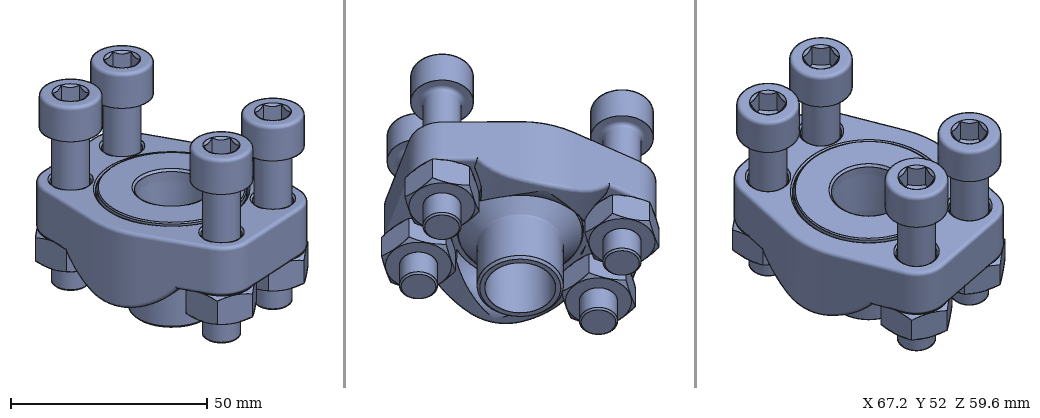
import cadquery as cq
import math

SQRT_HALF = math.sqrt(0.5)
COS_30 = math.cos(math.pi / 6)

HUB_TOP = 34.95
PLATE_TOP = 34.5
PLATE_THICKNESS = 14.0
PLATE_BOTTOM = PLATE_TOP - PLATE_THICKNESS
BULGE_DEPTH = 8.55
BULGE_BOTTOM = PLATE_BOTTOM - BULGE_DEPTH
HEAD_TOP = 59.6

SCREW_X = 23.8
SCREW_Y = 11.1
SCREW_PLACES = [(x_side * SCREW_X, y_side * SCREW_Y) for x_side in (-1, 1) for y_side in (-1, 1)]

PLATE_HALF_LENGTH = 32.5
PLATE_WIDTH = 52.0
CROWN_RADIUS = PLATE_WIDTH / 2
CORNER_RADIUS = PLATE_HALF_LENGTH - SCREW_X
EDGE_FILLET = 1.0
BULGE_RADIUS = 22.1

SEAT_DIAMETER = 38.9
SEAT_DEPTH = 6.5
SEAT_CHAMFER = 0.5
NECK_BORE_DIAMETER = 32.15
MOUTH_DIAMETER = 34.95
MOUTH_RADIUS = 6.6
NUT_CLEARANCE_DIAMETER = 20.2
SCREW_HOLE_DIAMETER = 10.5
SCREW_HOLE_CHAMFER = 0.55

HUB_HEAD_DIAMETER = 38.1
HUB_HEAD_CHAMFER = 0.35
NECK_DIAMETER = 31.6
TUBE_DIAMETER = 22.0
TUBE_LENGTH = 15.0
TUBE_CHAMFER = 0.7
CONE_BLEND_RADIUS = 0.6
UPPER_BORE_DIAMETER = 19.0
LOWER_BORE_DIAMETER = 18.0
UPPER_BORE_DEPTH = 3.3
BORE_TAPER_LENGTH = 11.55
BORE_CHAMFER = 0.6

SHANK_DIAMETER = 9.75
SHANK_LENGTH = 45.0
SHANK_CHAMFER = 0.5
HEAD_DIAMETER = 16.0
HEAD_HEIGHT = 9.95
HEAD_FILLET = 1.0
UNDERHEAD_FILLET = 1.1
SOCKET_FLATS = 8.0
SOCKET_DEPTH = 6.0
SOCKET_TURN = 37.0
SOCKET_RIM_DIAMETER = 9.4
SOCKET_POINT_ANGLE = 30.0

NUT_FLATS = 17.0
NUT_HEIGHT = 8.3
NUT_FACE_DIAMETER = 16.8
NUT_CHAMFER_ANGLE = 30.0


def disc(diameter, bottom, height):
    return cq.Workplane("XY", origin=(0, 0, bottom)).circle(diameter / 2).extrude(height)


def turned(points):
    """Solid of revolution about Z from (radius, z) points."""
    return cq.Workplane("XZ").polyline(points).close().revolve(360, (0, 0), (0, 1))


def hexagon(flats, bottom, height):
    return cq.Workplane("XY", origin=(0, 0, bottom)).polygon(6, flats / COS_30).extrude(height)


def countersink(diameter, top):
    """45 degree cone, pointing down, that is `diameter` wide at the level `top`."""
    radius = diameter / 2
    return turned([(0, top), (radius, top), (0, top - radius)])


def flange_outline():
    spacing = math.hypot(SCREW_X, SCREW_Y)
    slope = math.atan2(SCREW_X, SCREW_Y) - math.acos((CROWN_RADIUS - CORNER_RADIUS) / spacing)
    crown_x = CROWN_RADIUS * math.sin(slope)
    crown_y = CROWN_RADIUS * math.cos(slope)
    corner_x = SCREW_X + CORNER_RADIUS * math.sin(slope)
    corner_y = SCREW_Y + CORNER_RADIUS * math.cos(slope)
    middle_angle = (math.pi / 2 - slope) / 2
    middle_x = SCREW_X + CORNER_RADIUS * math.cos(middle_angle)
    middle_y = SCREW_Y + CORNER_RADIUS * math.sin(middle_angle)
    return (
        cq.Workplane("XY", origin=(0, 0, BULGE_BOTTOM))
        .moveTo(-crown_x, crown_y)
        .threePointArc((0, CROWN_RADIUS), (crown_x, crown_y))
        .lineTo(corner_x, corner_y)
        .threePointArc((middle_x, middle_y), (PLATE_HALF_LENGTH, SCREW_Y))
        .lineTo(PLATE_HALF_LENGTH, -SCREW_Y)
        .threePointArc((middle_x, -middle_y), (corner_x, -corner_y))
        .lineTo(crown_x, -crown_y)
        .threePointArc((0, -CROWN_RADIUS), (-crown_x, -crown_y))
        .lineTo(-corner_x, -corner_y)
        .threePointArc((-middle_x, -middle_y), (-PLATE_HALF_LENGTH, -SCREW_Y))
        .lineTo(-PLATE_HALF_LENGTH, SCREW_Y)
        .threePointArc((-middle_x, middle_y), (-corner_x, corner_y))
        .close()
    )


def bulged_slab():
    """Slab as thick as the plate with a round bulge under its middle, running along Y."""
    half_chord = math.sqrt(BULGE_RADIUS**2 - (BULGE_RADIUS - BULGE_DEPTH) ** 2)
    return (
        cq.Workplane("XZ")
        .moveTo(-PLATE_HALF_LENGTH, PLATE_TOP)
        .lineTo(-PLATE_HALF_LENGTH, PLATE_BOTTOM)
        .lineTo(-half_chord, PLATE_BOTTOM)
        .threePointArc((0, BULGE_BOTTOM), (half_chord, PLATE_BOTTOM))
        .lineTo(PLATE_HALF_LENGTH, PLATE_BOTTOM)
        .lineTo(PLATE_HALF_LENGTH, PLATE_TOP)
        .close()
        .extrude(CROWN_RADIUS, both=True)
    )


def lower_rim():
    """Selects the lower outline edges, without the two inner edges where the bulge meets the plate."""
    reach = PLATE_HALF_LENGTH + 0.7
    margin = 0.1
    below_plate = cq.selectors.BoxSelector(
        (-reach, -reach, BULGE_BOTTOM - margin),
        (reach, reach, PLATE_BOTTOM + margin),
        boundingbox=True,
    )
    bulge_sides = cq.selectors.BoxSelector(
        (-BULGE_RADIUS, -margin, BULGE_BOTTOM - margin),
        (BULGE_RADIUS, margin, PLATE_BOTTOM + margin),
    )
    return below_plate - bulge_sides


def flange_bore():
    """Neck bore, its wider mouth flaring out through the bulge, and the seat of the hub head."""
    neck_bore = disc(NECK_BORE_DIAMETER, PLATE_BOTTOM, PLATE_THICKNESS)
    radius = MOUTH_DIAMETER / 2
    arc_offset = MOUTH_RADIUS * (1 - SQRT_HALF)
    mouth = (
        cq.Workplane("XZ")
        .moveTo(0, BULGE_BOTTOM)
        .lineTo(radius + MOUTH_RADIUS, BULGE_BOTTOM)
        .threePointArc(
            (radius + arc_offset, BULGE_BOTTOM + arc_offset),
            (radius, BULGE_BOTTOM + MOUTH_RADIUS),
        )
        .lineTo(radius, PLATE_BOTTOM)
        .lineTo(0, PLATE_BOTTOM)
        .close()
        .revolve(360, (0, 0), (0, 1))
    )
    seat_radius = SEAT_DIAMETER / 2
    seat = turned([
        (0, PLATE_TOP),
        (seat_radius + SEAT_CHAMFER, PLATE_TOP),
        (seat_radius, PLATE_TOP - SEAT_CHAMFER),
        (seat_radius, PLATE_TOP - SEAT_DEPTH),
        (0, PLATE_TOP - SEAT_DEPTH),
    ])
    return neck_bore.union(mouth).union(seat)


def make_flange():
    body = flange_outline().extrude(PLATE_THICKNESS + BULGE_DEPTH).intersect(bulged_slab())
    body = body.faces(">Z").edges().fillet(EDGE_FILLET)
    body = body.edges(lower_rim()).fillet(EDGE_FILLET)
    body = body.cut(flange_bore())
    screw_hole = disc(SCREW_HOLE_DIAMETER, PLATE_BOTTOM, PLATE_THICKNESS).union(
        countersink(SCREW_HOLE_DIAMETER + 2 * SCREW_HOLE_CHAMFER, PLATE_TOP)
    )
    nut_clearance = disc(NUT_CLEARANCE_DIAMETER, BULGE_BOTTOM, BULGE_DEPTH)
    for x, y in SCREW_PLACES:
        body = body.cut(screw_hole.translate((x, y, 0)))
        body = body.cut(nut_clearance.translate((x, y, 0)))
    return body


def make_hub():
    head = HUB_HEAD_DIAMETER / 2
    neck = NECK_DIAMETER / 2
    tube = TUBE_DIAMETER / 2
    upper_bore = UPPER_BORE_DIAMETER / 2
    lower_bore = LOWER_BORE_DIAMETER / 2
    seat_level = PLATE_TOP - SEAT_DEPTH
    cone_top = TUBE_LENGTH + neck - tube
    taper_top = HUB_TOP - UPPER_BORE_DEPTH
    body = turned([
        (upper_bore + BORE_CHAMFER, HUB_TOP),
        (head - HUB_HEAD_CHAMFER, HUB_TOP),
        (head, HUB_TOP - HUB_HEAD_CHAMFER),
        (head, seat_level),
        (neck, seat_level),
        (neck, cone_top),
        (tube, TUBE_LENGTH),
        (tube, TUBE_CHAMFER),
        (tube - TUBE_CHAMFER, 0),
        (lower_bore, 0),
        (lower_bore, taper_top - BORE_TAPER_LENGTH),
        (upper_bore, taper_top),
        (upper_bore, HUB_TOP - BORE_CHAMFER),
    ])
    margin = 0.1
    cone_foot = cq.selectors.BoxSelector(
        (-head, -head, TUBE_LENGTH - margin),
        (head, head, TUBE_LENGTH + margin),
        boundingbox=True,
    )
    return body.edges(cone_foot).fillet(CONE_BLEND_RADIUS)


def screw_socket():
    """Hexagon socket with a drill-point floor and a countersunk rim."""
    corner_radius = SOCKET_FLATS / COS_30 / 2
    floor = HEAD_TOP - SOCKET_DEPTH
    point = floor - corner_radius * math.tan(math.radians(SOCKET_POINT_ANGLE))
    prism = hexagon(SOCKET_FLATS, point, HEAD_TOP - point).rotate((0, 0, 0), (0, 0, 1), SOCKET_TURN)
    drill = turned([
        (0, HEAD_TOP),
        (corner_radius, HEAD_TOP),
        (corner_radius, floor),
        (0, point),
    ])
    return prism.intersect(drill).union(countersink(SOCKET_RIM_DIAMETER, HEAD_TOP))


def underhead_fillet(head_bottom):
    """Concave ring that blends the shank into the underside of the head."""
    radius = SHANK_DIAMETER / 2
    arc_offset = UNDERHEAD_FILLET * (1 - SQRT_HALF)
    return (
        cq.Workplane("XZ")
        .moveTo(0, head_bottom)
        .lineTo(radius + UNDERHEAD_FILLET, head_bottom)
        .threePointArc(
            (radius + arc_offset, head_bottom - arc_offset),
            (radius, head_bottom - UNDERHEAD_FILLET),
        )
        .lineTo(0, head_bottom - UNDERHEAD_FILLET)
        .close()
        .revolve(360, (0, 0), (0, 1))
    )


def make_screw():
    head_bottom = HEAD_TOP - HEAD_HEIGHT
    head = disc(HEAD_DIAMETER, head_bottom, HEAD_HEIGHT).faces(">Z").edges().fillet(HEAD_FILLET)
    shank = disc(SHANK_DIAMETER, head_bottom - SHANK_LENGTH, SHANK_LENGTH)
    shank = shank.faces("<Z").edges().chamfer(SHANK_CHAMFER)
    return head.union(shank).union(underhead_fillet(head_bottom)).cut(screw_socket())


def make_nut():
    bottom = PLATE_BOTTOM - NUT_HEIGHT
    corner_radius = NUT_FLATS / COS_30 / 2
    face_radius = NUT_FACE_DIAMETER / 2
    drop = (corner_radius - face_radius) * math.tan(math.radians(NUT_CHAMFER_ANGLE))
    blank = turned([
        (0, bottom),
        (face_radius, bottom),
        (corner_radius, bottom + drop),
        (corner_radius, PLATE_BOTTOM - drop),
        (face_radius, PLATE_BOTTOM),
        (0, PLATE_BOTTOM),
    ])
    thread_hole = disc(SHANK_DIAMETER, bottom, NUT_HEIGHT)
    return hexagon(NUT_FLATS, bottom, NUT_HEIGHT).intersect(blank).cut(thread_hole)


flange = make_flange()
hub = make_hub()
screw = make_screw()
nut = make_nut()
screws = [screw.translate((x, y, 0)).val() for x, y in SCREW_PLACES]
nuts = [nut.translate((x, y, 0)).val() for x, y in SCREW_PLACES]

result = cq.Compound.makeCompound([flange.val(), hub.val(), *screws, *nuts])